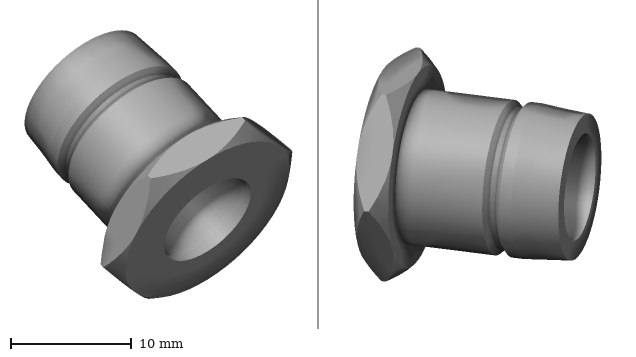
import cadquery as cq
import math

across_corners = 19.63
total_length = 17.0
head_thickness = 3.0
body_radius = 6.5
bore_radius = 4.5
nose_radius = 6.15
nose_length = 4.0
groove_start = 5.0
groove_depth = 0.5
groove_floor_width = 0.5

across_flats = across_corners * math.cos(math.pi / 6)
head_start = total_length - head_thickness
corner_chamfer = (across_corners - across_flats) / 2
groove_radius = body_radius - groove_depth
floor_start = groove_start + groove_depth
floor_end = floor_start + groove_floor_width
groove_end = floor_end + groove_depth


def revolve_about_x(profile):
    return profile.close().revolve(360, (0, 0, 0), (1, 0, 0))


def make_body():
    """Sleeve with a tapered nose and a V-sided ring groove."""
    profile = (
        cq.Workplane("XY")
        .lineTo(0, nose_radius)
        .lineTo(nose_length, body_radius)
        .lineTo(groove_start, body_radius)
        .lineTo(floor_start, groove_radius)
        .lineTo(floor_end, groove_radius)
        .lineTo(groove_end, body_radius)
        .lineTo(total_length, body_radius)
        .lineTo(total_length, 0)
    )
    return revolve_about_x(profile)


def make_head():
    """Hexagon with corners along Y, its corners chamfered on both faces."""
    hexagon = (
        cq.Workplane("YZ", origin=(head_start, 0, 0))
        .polygon(6, across_corners)
        .extrude(head_thickness)
    )
    flat_radius = across_flats / 2
    corner_radius = across_corners / 2
    envelope = (
        cq.Workplane("XY")
        .moveTo(head_start, 0)
        .lineTo(head_start, flat_radius)
        .lineTo(head_start + corner_chamfer, corner_radius)
        .lineTo(total_length - corner_chamfer, corner_radius)
        .lineTo(total_length, flat_radius)
        .lineTo(total_length, 0)
    )
    return hexagon.intersect(revolve_about_x(envelope))


def make_bore():
    return cq.Workplane("YZ").circle(bore_radius).extrude(total_length)


result = make_body().union(make_head()).cut(make_bore())